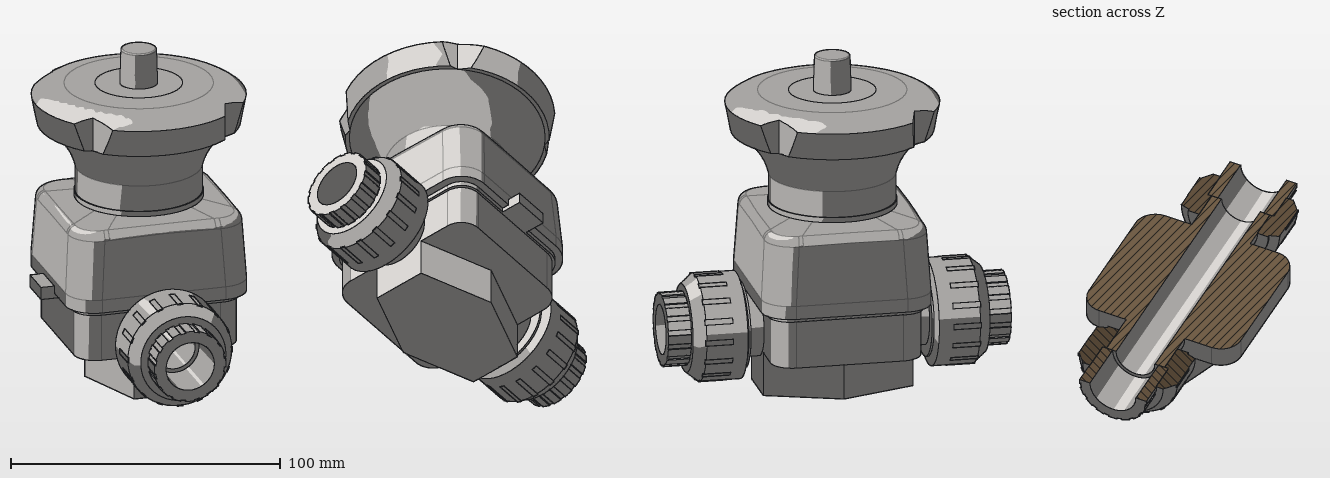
import cadquery as cq
import math


bore_radius = 7.9
pipe_radius = 12.1
joint_x = 45.5

body_length = 56.8
body_width = 62.5
body_corner_radius = 8.2
body_top_z = 10.0
body_bottom_z = -8.2
foot_bottom_z = -25.0
foot_mid_half_width = 20.9
foot_end_half_width = foot_mid_half_width / 2

lip_length = 58.5
lip_width = 64.1
lip_height = 2.0
skirt_length = 64.1
skirt_width = 69.7
skirt_corner_radius = 10.9
skirt_height = 5.1
draft_inset = 1.5
shoulder_z = 42.4
shoulder_fillet = 3.5
shoulder_tolerance = 0.1
collar_radius = 24.0
collar_base_z = 45.0
collar_height = 2.0
collar_top_z = collar_base_z + collar_height
collar_corner_angles = (37, 60)
tab_width = 13.9
tab_height = 4.8
tab_reach = 40.0

wheel_radius = 39.9
wheel_top_z = 89.0
wheel_flat_radius = 27.7
wheel_edge_z = 84.6
rim_bottom_radius = 37.8
rim_bottom_z = 74.0
flare_radius = 36.3
flare_mid_radius = 28.1
flare_mid_z = 66.7
neck_radius = 23.7
neck_top_z = 57.0
notch_count = 4
notch_start_angle = 45
notch_root_radius = flare_radius
notch_short_angle = -8.8
notch_long_angle = 14.0

stem_disc_radius = 16.2
stem_disc_thickness = 3.9
stem_disc_bottom_z = wheel_top_z - stem_disc_thickness
stem_base_radius = 7.0
stem_tip_radius = 6.6
stem_dome_radius = 6.1
stem_edge_z = 102.2
stem_tip_z = 103.6

nut_inner_x = 34.3
nut_outer_x = 56.3
nut_radius = 20.2
nut_face_radius = 16.5
nut_outer_chamfer = 4.4
nut_inner_chamfer = 1.2
nut_collar_length = 0.8
nut_rib_radius = 20.3
nut_rib_root_radius = 19.5
nut_rib_width = 2.1
nut_rib_start_x = 41.7
nut_rib_end_x = 52.3

end_x = 65.0
connector_bore_radius = 9.4
connector_radius = 13.4
connector_rib_radius = 13.8
connector_rib_root_radius = 13.0
connector_rib_width = 3.4

rib_count = 16


def rounded_block(length, width, corner_radius, bottom_z, height):
    block = cq.Workplane("XY").workplane(offset=bottom_z).rect(length, width).extrude(height)
    return block.edges("|Z").fillet(corner_radius)


def cylinder_x(radius, start_x, end_x):
    return cq.Workplane("YZ").workplane(offset=start_x).circle(radius).extrude(end_x - start_x)


def ribs_around_x(root_radius, tip_radius, width, start_x, end_x):
    """Straight ribs along X, evenly spaced around the flow axis."""
    first = cq.Workplane("XY").box(
        end_x - start_x, tip_radius - root_radius, width
    ).translate(((start_x + end_x) / 2, (root_radius + tip_radius) / 2, 0))
    ribs = cq.Workplane("XY")
    for i in range(rib_count):
        ribs = ribs.add(first.rotate((0, 0, 0), (1, 0, 0), i * 360 / rib_count))
    return ribs.combine()


def make_body():
    half_length = body_length / 2
    body = rounded_block(
        body_length, body_width, body_corner_radius, body_bottom_z, body_top_z - body_bottom_z
    )
    foot = (
        cq.Workplane("XY")
        .workplane(offset=foot_bottom_z)
        .polyline([
            (-half_length, -foot_end_half_width),
            (0, -foot_mid_half_width),
            (half_length, -foot_end_half_width),
            (half_length, foot_end_half_width),
            (0, foot_mid_half_width),
            (-half_length, foot_end_half_width),
        ])
        .close()
        .extrude(body_bottom_z - foot_bottom_z)
    )
    pipe = cylinder_x(pipe_radius, -joint_x, joint_x)
    bore = cylinder_x(bore_radius, -joint_x, joint_x)
    return body.union(foot).union(pipe).cut(bore)


def in_all_quadrants(corner):
    """Copies of a corner's points in the four quadrants, counter-clockwise."""
    mirrored = corner[::-1]
    return [
        corner,
        [(-x, y) for x, y in mirrored],
        [(-x, -y) for x, y in corner],
        [(x, -y) for x, y in mirrored],
    ]


def corner_points(half_length, half_width, corner_radius):
    """Start, middle and end of each rounded corner of a rectangle."""
    diagonal = corner_radius * (1 - math.sqrt(0.5))
    return in_all_quadrants([
        (half_length, half_width - corner_radius),
        (half_length - diagonal, half_width - diagonal),
        (half_length - corner_radius, half_width),
    ])


def polar_point(radius, angle):
    return (radius * math.cos(math.radians(angle)), radius * math.sin(math.radians(angle)))


def collar_points():
    """The stretches of the collar circle that the rounded corners run into."""
    start, end = collar_corner_angles
    return in_all_quadrants([polar_point(collar_radius, a) for a in (start, (start + end) / 2, end)])


def corner_wire(corners, z, round_sides):
    """A closed outline of four corner arcs joined by straight sides or by arcs of the collar."""
    edges = []
    for i in range(len(corners)):
        start, middle, end = [cq.Vector(x, y, z) for x, y in corners[i]]
        following = cq.Vector(*corners[(i + 1) % len(corners)][0], z)
        edges.append(cq.Edge.makeThreePointArc(start, middle, end))
        if round_sides:
            halfway = (end + following) * 0.5
            outward = cq.Vector(halfway.x, halfway.y, 0).normalized() * collar_radius
            edges.append(cq.Edge.makeThreePointArc(end, outward + cq.Vector(0, 0, z), following))
        else:
            edges.append(cq.Edge.makeLine(end, following))
    return cq.Wire.assembleEdges(edges)


def make_bonnet():
    skirt_bottom_z = body_top_z + lip_height
    skirt_top_z = skirt_bottom_z + skirt_height
    lip = rounded_block(lip_length, lip_width, body_corner_radius, body_top_z, lip_height)
    skirt = rounded_block(skirt_length, skirt_width, skirt_corner_radius, skirt_bottom_z, skirt_height)

    base = corner_points(skirt_length / 2, skirt_width / 2, skirt_corner_radius)
    shoulder = corner_points(
        skirt_length / 2 - draft_inset, skirt_width / 2 - draft_inset, skirt_corner_radius
    )
    base_wire = corner_wire(base, skirt_top_z, False)
    shoulder_wire = corner_wire(shoulder, shoulder_z, False)
    collar_wire = corner_wire(collar_points(), collar_base_z, True)
    sides = cq.Workplane(cq.Solid.makeLoft([base_wire, shoulder_wire], True))
    crown = cq.Workplane(cq.Solid.makeLoft([shoulder_wire, collar_wire], True))
    shoulder_edges = cq.selectors.BoxSelector(
        (-skirt_length, -skirt_width, shoulder_z - shoulder_tolerance),
        (skirt_length, skirt_width, shoulder_z + shoulder_tolerance),
    )
    hood = sides.union(crown).edges(shoulder_edges).fillet(shoulder_fillet)

    collar = (
        cq.Workplane("XY").workplane(offset=collar_base_z).circle(collar_radius).extrude(collar_height)
    )
    tab = (
        cq.Workplane("XY")
        .workplane(offset=body_top_z)
        .center(0, -tab_reach / 2)
        .rect(tab_width, tab_reach)
        .extrude(tab_height)
    )
    return lip.union(skirt).union(hood).union(collar).union(tab)


def make_handwheel():
    dome_rise = wheel_top_z - wheel_edge_z
    dome_run = wheel_radius - wheel_flat_radius
    dome_radius = (dome_run**2 + dome_rise**2) / (2 * dome_rise)
    wheel = (
        cq.Workplane("XZ")
        .moveTo(0, stem_disc_bottom_z)
        .lineTo(0, collar_top_z)
        .lineTo(neck_radius, collar_top_z)
        .lineTo(neck_radius, neck_top_z)
        .threePointArc((flare_mid_radius, flare_mid_z), (flare_radius, rim_bottom_z))
        .lineTo(rim_bottom_radius, rim_bottom_z)
        .lineTo(wheel_radius, wheel_edge_z)
        .radiusArc((wheel_flat_radius, wheel_top_z), -dome_radius)
        .lineTo(stem_disc_radius, wheel_top_z)
        .lineTo(stem_disc_radius, stem_disc_bottom_z)
        .close()
        .revolve(360, (0, 0, 0), (0, 1, 0))
    )
    root = (notch_root_radius, 0)
    flanks = []
    for angle in (notch_short_angle, notch_long_angle):
        x, y = polar_point(wheel_radius, angle)
        flanks.append((2 * x - notch_root_radius, 2 * y))
    notch = (
        cq.Workplane("XY")
        .workplane(offset=rim_bottom_z)
        .polyline([root, *flanks])
        .close()
        .extrude(wheel_top_z - rim_bottom_z)
    )
    for i in range(notch_count):
        angle = notch_start_angle + i * 360 / notch_count
        wheel = wheel.cut(notch.rotate((0, 0, 0), (0, 0, 1), angle))
    return wheel


def make_stem():
    """The indicator stem on a disc that sits flush in the top of the handwheel."""
    edge_round = stem_tip_radius - stem_dome_radius
    dome_edge_z = stem_edge_z + edge_round
    dome_rise = stem_tip_z - dome_edge_z
    dome_radius = (stem_dome_radius**2 + dome_rise**2) / (2 * dome_rise)
    return (
        cq.Workplane("XZ")
        .moveTo(0, stem_disc_bottom_z)
        .lineTo(stem_disc_radius, stem_disc_bottom_z)
        .lineTo(stem_disc_radius, wheel_top_z)
        .lineTo(stem_base_radius, wheel_top_z)
        .lineTo(stem_tip_radius, stem_edge_z)
        .radiusArc((stem_dome_radius, dome_edge_z), -edge_round)
        .radiusArc((0, stem_tip_z), -dome_radius)
        .close()
        .revolve(360, (0, 0, 0), (0, 1, 0))
    )


def make_nut():
    """The union nut on the +X side."""
    collar_end_x = nut_inner_x + nut_collar_length
    nut = (
        cq.Workplane("XY")
        .moveTo(nut_inner_x, pipe_radius)
        .lineTo(nut_inner_x, nut_face_radius)
        .lineTo(collar_end_x, nut_face_radius)
        .lineTo(collar_end_x + nut_inner_chamfer, nut_radius)
        .lineTo(nut_outer_x - nut_outer_chamfer, nut_radius)
        .lineTo(nut_outer_x, nut_face_radius)
        .lineTo(nut_outer_x, connector_radius)
        .lineTo(joint_x, connector_radius)
        .lineTo(joint_x, pipe_radius)
        .close()
        .revolve(360, (0, 0, 0), (1, 0, 0))
    )
    ribs = ribs_around_x(
        nut_rib_root_radius, nut_rib_radius, nut_rib_width, nut_rib_start_x, nut_rib_end_x
    )
    return nut.union(ribs)


def make_connector():
    """The ribbed end connector on the +X side."""
    sleeve = cylinder_x(connector_radius, joint_x, end_x)
    ribs = ribs_around_x(
        connector_rib_root_radius, connector_rib_radius, connector_rib_width, nut_outer_x, end_x
    )
    return sleeve.union(ribs).cut(cylinder_x(connector_bore_radius, joint_x, end_x))


body = make_body()
bonnet = make_bonnet()
handwheel = make_handwheel()
stem = make_stem()

fittings = []
for make_fitting in (make_nut, make_connector):
    fitting = make_fitting()
    fittings.append(fitting.val())
    fittings.append(fitting.mirror("YZ").val())

result = cq.Compound.makeCompound([body.val(), bonnet.val(), handwheel.val(), stem.val(), *fittings])